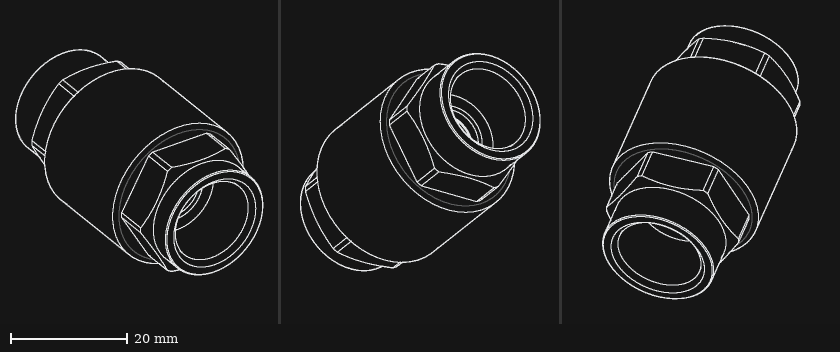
import cadquery as cq
import math

length = 47.0

barrel_radius = 13.5
barrel_start = 13.95
barrel_end = 36.05
rim_width = 0.45
rim_depth = 1.0
rim_bulge_width = 0.15
rim_bulge_depth = 0.35

hex_sides = 6
hex_across_flats = 21.15
hex_corner_radius = 11.95
hex_chamfer_angle = 30.0
left_hex_start = 7.0
right_hex_end = 43.05
pipe_radius = 10.05
pipe_chamfer = 0.2

bore_radius = 7.5
bore_mouth_radius = 8.45
bore_chamfer_length = 0.95
bore_depth = 11.75
seat_radius = 5.5
seat_cone_length = 0.3
throat_chamfer_length = 0.45
throat_radius = 5.05
throat_depth = 2.35

nose_base_radius = 4.5
nose_radius = 4.4
nose_cylinder_length = 0.25
nose_tip_radius = 1.25
nose_cone_length = 3.05
nose_dome_height = 0.55


def revolve_about_x(profile):
    return profile.close().revolve(360, (0, 0, 0), (1, 0, 0))


def make_pipe():
    tube = cq.Workplane("YZ").circle(pipe_radius).extrude(length)
    return tube.faces("<X or >X").chamfer(pipe_chamfer)


def make_hexes():
    """Full-length hexagon, with corners rounded and both ends coned."""
    corner_diameter = hex_across_flats / math.cos(math.pi / hex_sides)
    hex_length = right_hex_end - left_hex_start
    prism = (
        cq.Workplane("YZ", origin=(left_hex_start, 0, 0))
        .polygon(hex_sides, corner_diameter)
        .extrude(hex_length)
    )
    cone_length = (hex_corner_radius - pipe_radius) * math.tan(math.radians(hex_chamfer_angle))
    envelope = revolve_about_x(
        cq.Workplane("XY")
        .moveTo(left_hex_start, 0)
        .lineTo(left_hex_start, pipe_radius)
        .lineTo(left_hex_start + cone_length, hex_corner_radius)
        .lineTo(right_hex_end - cone_length, hex_corner_radius)
        .lineTo(right_hex_end, pipe_radius)
        .lineTo(right_hex_end, 0)
    )
    return prism.intersect(envelope)


def make_barrel():
    rim_radius = barrel_radius - rim_depth
    bulge_radius = barrel_radius - rim_bulge_depth
    return revolve_about_x(
        cq.Workplane("XY")
        .moveTo(barrel_start, 0)
        .lineTo(barrel_start, rim_radius)
        .threePointArc(
            (barrel_start + rim_bulge_width, bulge_radius),
            (barrel_start + rim_width, barrel_radius),
        )
        .lineTo(barrel_end - rim_width, barrel_radius)
        .threePointArc(
            (barrel_end - rim_bulge_width, bulge_radius),
            (barrel_end, rim_radius),
        )
        .lineTo(barrel_end, 0)
    )


def make_bore():
    """Cutter for the left end: chamfered bore, conical seat and chamfered throat."""
    seat_end = bore_depth + seat_cone_length
    throat_end = seat_end + throat_depth
    return revolve_about_x(
        cq.Workplane("XY")
        .lineTo(0, bore_mouth_radius)
        .lineTo(bore_chamfer_length, bore_radius)
        .lineTo(bore_depth, bore_radius)
        .lineTo(seat_end, seat_radius)
        .lineTo(seat_end + throat_chamfer_length, throat_radius)
        .lineTo(throat_end, throat_radius)
        .lineTo(throat_end, 0)
    )


def make_nose():
    """Poppet nose: stepped base, cone and domed tip, pointing to -X."""
    base = bore_depth + seat_cone_length + throat_depth
    step = base - nose_cylinder_length
    shoulder = step - nose_cylinder_length
    cone_end = shoulder - nose_cone_length
    tip = cone_end - nose_dome_height
    dome_sphere_radius = (nose_tip_radius**2 + nose_dome_height**2) / (2 * nose_dome_height)
    half_angle = math.asin(nose_tip_radius / dome_sphere_radius) / 2
    dome_middle = (
        tip + dome_sphere_radius * (1 - math.cos(half_angle)),
        dome_sphere_radius * math.sin(half_angle),
    )
    return revolve_about_x(
        cq.Workplane("XY")
        .moveTo(tip, 0)
        .threePointArc(dome_middle, (cone_end, nose_tip_radius))
        .lineTo(shoulder, nose_radius)
        .lineTo(step, nose_radius)
        .lineTo(step, nose_base_radius)
        .lineTo(base, nose_base_radius)
        .lineTo(base, 0)
    )


left_bore = make_bore()
right_bore = left_bore.mirror("YZ").translate((length, 0, 0))

result = make_pipe().union(make_hexes()).union(make_barrel())
result = result.cut(left_bore).cut(right_bore).union(make_nose())